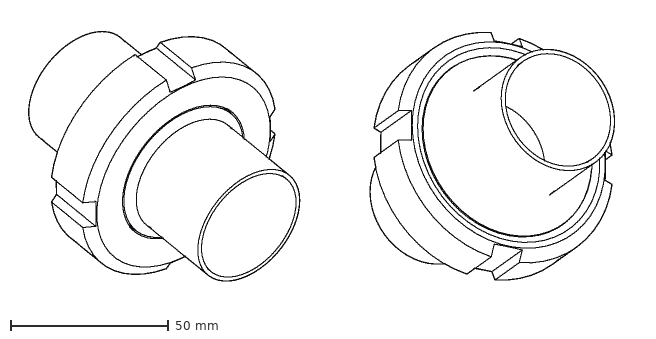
import cadquery as cq
import math

overall_length = 88.0
end_x = overall_length / 2
pipe_radius = 41.0 / 2
bore_radius = 38.0 / 2

nut_radius = 78.0 / 2
nut_left_x = -11.0
nut_right_x = 10.0
outer_chamfer_length = 2.4
outer_chamfer_angle = 60.0
outer_chamfer_height = outer_chamfer_length * math.tan(math.radians(outer_chamfer_angle))
nut_face_radius = nut_radius - outer_chamfer_height
thread_radius = 61.2 / 2
entry_radius = 65.8 / 2
entry_chamfer_angle = 60.0
entry_chamfer_length = (entry_radius - thread_radius) / math.tan(math.radians(entry_chamfer_angle))
slot_count = 4
slot_width = 10.1
slot_floor_radius = 35.0

flange_face_x = -10.2
flange_fillet = 1.85
thread_clearance = 0.1
flange_radius = thread_radius - thread_clearance

collar_radius = 54.9 / 2
collar_recess_radius = 55.0 / 2
collar_length = 6.2
hub_radius = 48.0 / 2
nut_opening_radius = 49.0 / 2
hub_cone_end_x = 12.0


def revolve_about_x(profile):
    """Turn a closed (x, radius) profile into a solid of revolution."""
    return profile.close().revolve(360, (0, 0, 0), (1, 0, 0))


def make_nut():
    profile = (
        cq.Workplane("XY")
        .moveTo(nut_left_x, entry_radius)
        .lineTo(nut_left_x, nut_face_radius)
        .lineTo(nut_left_x + outer_chamfer_length, nut_radius)
        .lineTo(nut_right_x - outer_chamfer_length, nut_radius)
        .lineTo(nut_right_x, nut_face_radius)
        .lineTo(nut_right_x, nut_opening_radius)
        .lineTo(collar_length, nut_opening_radius)
        .lineTo(collar_length, collar_recess_radius)
        .lineTo(0, collar_recess_radius)
        .lineTo(0, thread_radius)
        .lineTo(nut_left_x + entry_chamfer_length, thread_radius)
    )
    nut = revolve_about_x(profile)

    slot_depth = nut_radius - slot_floor_radius
    slot = cq.Workplane("XY").box(
        nut_right_x - nut_left_x, slot_width, slot_depth, centered=(False, True, False)
    ).translate((nut_left_x, 0, slot_floor_radius))
    for index in range(slot_count):
        angle = index * 360 / slot_count
        nut = nut.cut(slot.rotate((0, 0, 0), (1, 0, 0), angle))
    return nut


def make_flanged_end():
    fillet_mid_offset = flange_fillet * (1 - math.sqrt(0.5))
    profile = (
        cq.Workplane("XY")
        .moveTo(-end_x, bore_radius)
        .lineTo(-end_x, pipe_radius)
        .lineTo(flange_face_x - flange_fillet, pipe_radius)
        .threePointArc(
            (flange_face_x - fillet_mid_offset, pipe_radius + fillet_mid_offset),
            (flange_face_x, pipe_radius + flange_fillet),
        )
        .lineTo(flange_face_x, flange_radius)
        .lineTo(0, flange_radius)
        .lineTo(0, bore_radius)
    )
    return revolve_about_x(profile)


def make_collared_end():
    profile = (
        cq.Workplane("XY")
        .moveTo(0, bore_radius)
        .lineTo(0, collar_radius)
        .lineTo(collar_length, collar_radius)
        .lineTo(collar_length, hub_radius)
        .lineTo(nut_right_x, hub_radius)
        .lineTo(hub_cone_end_x, pipe_radius)
        .lineTo(end_x, pipe_radius)
        .lineTo(end_x, bore_radius)
    )
    return revolve_about_x(profile)


nut = make_nut()
flanged_end = make_flanged_end()
collared_end = make_collared_end()

result = cq.Compound.makeCompound([nut.val(), flanged_end.val(), collared_end.val()])